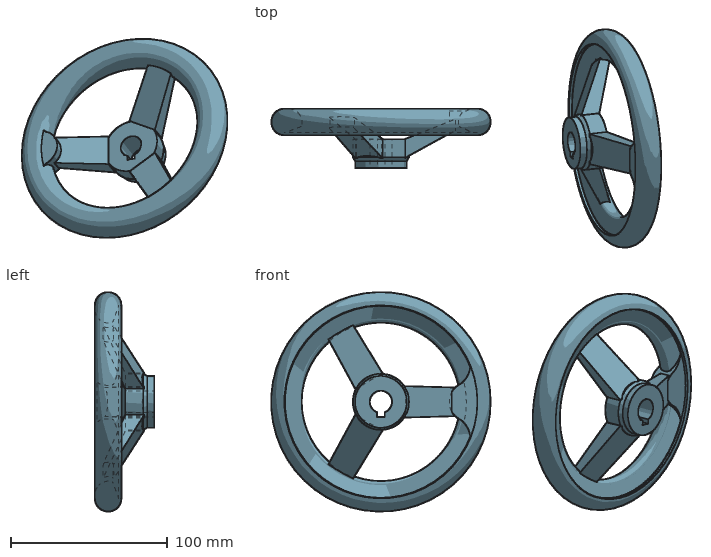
import cadquery as cq
import math


rim_radius = 70.0
rim_depth = 17.1
rim_inner_radius = 50.4
opening_radius = 123.0 / 2
step_depth = 2.0
step_width = 0.4
cone_inner_radius = 53.0
cone_inner_depth = 12.0
rim_round = rim_depth / 2
lip_round = cone_inner_radius - rim_inner_radius

hub_radius = 17.9
hub_rear = 19.5
shoulder_depth = 31.0
neck_depth = 33.5
hub_front = 37.9
hub_face_radius = 33.0 / 2
bore_radius = 7.0
key_width = 4.9
key_reach = 9.5

spoke_count = 3
spoke_root_width = 20.2
spoke_tip_width = 18.2
spoke_root_radius = 15.4
spoke_tip_radius = 51.5
spoke_front_slope = 0.55
spoke_rear_slope = 0.4
spoke_front_at_root = 31.5
spoke_rear_at_root = 19.3

boss_center = 56.0
boss_radius = 12.6
boss_front = rim_depth - step_depth
boss_rear = 1.4
flare_start = (50.7, 11.3)
flare_middle = (55.0, 16.2)
flare_end = (56.8, 21.4)


def revolve_about_y(profile):
    return profile.close().revolve(360, (0, 0, 0), (0, 1, 0))


def arc_middle(center_x, center_y, radius, angle):
    a = math.radians(angle)
    return (center_x + radius * math.cos(a), center_y + radius * math.sin(a))


def make_rim():
    outer_center = rim_radius - rim_round
    inner_center = rim_inner_radius + rim_round
    lip_center = rim_inner_radius + lip_round
    return revolve_about_y(
        cq.Workplane("XY")
        .moveTo(inner_center, 0)
        .lineTo(outer_center, 0)
        .threePointArc((rim_radius, -rim_round), (outer_center, -rim_depth))
        .lineTo(opening_radius, -rim_depth)
        .lineTo(opening_radius, -boss_front)
        .lineTo(opening_radius - step_width, -boss_front)
        .lineTo(cone_inner_radius, -cone_inner_depth)
        .threePointArc(
            arc_middle(lip_center, lip_round - cone_inner_depth, lip_round, 225),
            (rim_inner_radius, lip_round - cone_inner_depth),
        )
        .threePointArc(arc_middle(inner_center, -rim_round, rim_round, 135), (inner_center, 0))
    )


def make_hub():
    return revolve_about_y(
        cq.Workplane("XY")
        .moveTo(0, -hub_rear)
        .lineTo(hub_radius, -hub_rear)
        .lineTo(hub_radius, -shoulder_depth)
        .lineTo(hub_face_radius, -neck_depth)
        .lineTo(hub_face_radius, -hub_front)
        .lineTo(0, -hub_front)
    )


def make_spoke(angle):
    run = spoke_tip_radius - spoke_root_radius
    profile = [
        (spoke_root_radius, -spoke_front_at_root),
        (spoke_tip_radius, -spoke_front_at_root + spoke_front_slope * run),
        (spoke_tip_radius, -spoke_rear_at_root + spoke_rear_slope * run),
        (spoke_root_radius, -spoke_rear_at_root),
    ]
    plan = [
        (spoke_root_radius, -spoke_root_width / 2),
        (spoke_tip_radius, -spoke_tip_width / 2),
        (spoke_tip_radius, spoke_tip_width / 2),
        (spoke_root_radius, spoke_root_width / 2),
    ]
    side_prism = cq.Workplane("XY").polyline(profile).close().extrude(spoke_root_width, both=True)
    plan_prism = cq.Workplane("XZ").polyline(plan).close().extrude(hub_front)
    return side_prism.intersect(plan_prism).rotate((0, 0, 0), (0, 1, 0), angle)


def boss_plane():
    return cq.Workplane("XZ", origin=(0, -boss_rear, 0))


def make_boss():
    cylinder = boss_plane().center(boss_center, 0).circle(boss_radius).extrude(boss_front - boss_rear)
    flare = (
        boss_plane()
        .moveTo(*flare_start)
        .threePointArc(flare_middle, flare_end)
        .lineTo(rim_radius, flare_end[1])
        .lineTo(rim_radius, -flare_end[1])
        .lineTo(flare_end[0], -flare_end[1])
        .threePointArc((flare_middle[0], -flare_middle[1]), (flare_start[0], -flare_start[1]))
        .close()
        .extrude(boss_front - boss_rear)
    )
    limit = boss_plane().circle(opening_radius).extrude(boss_front - boss_rear)
    return cylinder.union(flare).intersect(limit)


def make_bore():
    bore = cq.Workplane("XZ").circle(bore_radius).extrude(hub_front)
    keyway = (
        cq.Workplane("XZ")
        .center(0, -key_reach / 2)
        .rect(key_width, key_reach)
        .extrude(hub_front)
    )
    return bore.union(keyway)


result = make_rim().union(make_hub())
for i in range(spoke_count):
    result = result.union(make_spoke(i * 360 / spoke_count))
result = result.union(make_boss()).cut(make_bore())